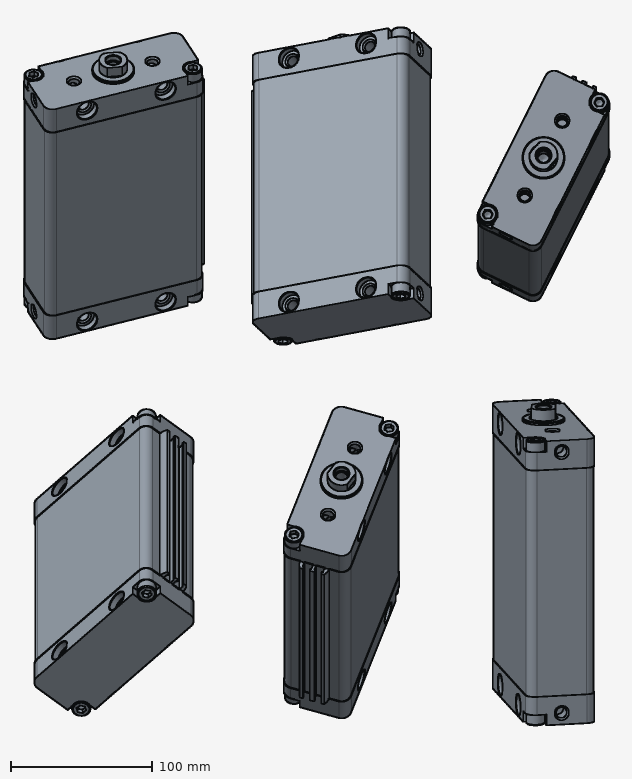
import cadquery as cq
import math

total_height = 217.0
rod_projection = 10.0
cap_width = 50.0
cap_length = 121.0
cap_height = 21.0
corner_radius = 7.0
body_top = total_height - rod_projection
mount_spacing = 60.0

barrel_width = 49.0
barrel_length = 119.8
barrel_corner_radius = 6.5
barrel_height = body_top - 2 * cap_height

rail_tip_y = 66.0
rail_lip = 2.0
rail_lip_y = rail_tip_y - rail_lip
centre_rail_stem_width = 2.2
centre_rail_head_width = 3.5
side_rail_lip_x = 6.7
side_rail_inner_x = 7.5
side_rail_tip_x = 9.1
side_rail_root_x = 10.8
side_rail_bulge_x = 10.5
side_rail_bulge_y = 63.1

thread_diameter = 7.8
thread_mouth = 10.5
thread_chamfer = (thread_mouth - thread_diameter) / 2
side_hole_setback = 8.5
counterbore_diameter = 15.0
counterbore_depth = 5.5
counterbore_chamfer = 0.5
port_depth = 13.0
top_hole_depth = 15.2
drill_point_slope = 30.0

screw_x = 17.5
screw_y = 53.5
screw_head_diameter = 13.2
screw_head_chamfer = 0.9
screw_pocket_diameter = 14.0
screw_slot_width = 13.2
screw_pocket_depth = 7.8
socket_across_flats = 6.0
socket_depth = 4.0

collar_diameter = 30.0
collar_height = 2.0
collar_chamfer = 0.7

rod_diameter = 20.0
rod_across_flats = 17.0
flat_turn = -15.0
rod_thread_diameter = 8.5
rod_thread_mouth = 9.8
rod_thread_chamfer = (rod_thread_mouth - rod_thread_diameter) / 2
rod_thread_depth = 10.8
rod_recess_diameter = 10.5
rod_recess_mouth = 11.5
rod_recess_chamfer = (rod_recess_mouth - rod_recess_diameter) / 2
rod_recess_depth = 4.3


def rounded_block(width, length, height, radius):
    block = cq.Workplane("XY").box(width, length, height, centered=(True, True, False))
    return block.edges("|Z").fillet(radius)


def drilled_hole(diameter, depth, chamfer):
    """Flat-bottomed cutter with its chamfered mouth at the origin, running down -Z."""
    hole = cq.Workplane("XY").circle(diameter / 2).extrude(-depth)
    mouth = cq.Solid.makeCone(diameter / 2, diameter / 2 + chamfer, chamfer, pnt=cq.Vector(0, 0, -chamfer))
    return hole.union(cq.Workplane(mouth))


def drill_point(diameter, depth):
    """Conical bottom for a hole of the given depth below the origin."""
    point_height = diameter / 2 * math.tan(math.radians(drill_point_slope))
    point = cq.Solid.makeCone(0, diameter / 2, point_height, pnt=cq.Vector(0, 0, -depth - point_height))
    return cq.Workplane(point)


def side_hole():
    """Through hole along X, counterbored and chamfered at both ends."""
    through = cq.Workplane("YZ").circle(thread_diameter / 2).extrude(cap_width / 2, both=True)
    seat_x = cap_width / 2 - counterbore_depth
    end = drilled_hole(thread_diameter, thread_chamfer, thread_chamfer)
    end = end.translate((0, 0, seat_x))
    counterbore = drilled_hole(counterbore_diameter, counterbore_depth, counterbore_chamfer)
    end = end.union(counterbore.translate((0, 0, cap_width / 2)))
    for turn in (90, -90):
        through = through.union(end.rotate((0, 0, 0), (0, 1, 0), turn))
    return through


def screw_pocket():
    """Round pocket under Z = 0 at the (-X, -Y) corner, opened to both side faces by slots."""
    pocket = cq.Workplane("XY").circle(screw_pocket_diameter / 2).extrude(-screw_pocket_depth)
    slot = cq.Workplane("XY").center(-screw_slot_width / 2, 0).rect(screw_slot_width, screw_slot_width)
    slot = slot.extrude(-screw_pocket_depth)
    for turn in (0, 90):
        pocket = pocket.union(slot.rotate((0, 0, 0), (0, 0, 1), turn))
    return pocket.translate((-screw_x, -screw_y, 0))


def screw_head():
    """Socket head under Z = 0, standing on the floor of the (-X, -Y) corner pocket."""
    head = cq.Workplane("XY").circle(screw_head_diameter / 2).extrude(-screw_pocket_depth)
    head = head.faces(">Z").chamfer(screw_head_chamfer)
    socket = cq.Workplane("XY").polygon(6, socket_across_flats, circumscribed=True).extrude(-socket_depth)
    point = drill_point(socket_across_flats, socket_depth)
    head = head.cut(socket).cut(point)
    return head.translate((-screw_x, -screw_y, 0))


def end_cap():
    """Cap with its outer face up at Z = 0: corner screws, side holes and the -Y port."""
    cap = rounded_block(cap_width, cap_length, cap_height, corner_radius)
    cap = cap.translate((0, 0, -cap_height))
    for turn in (0, 180):
        cap = cap.cut(screw_pocket().rotate((0, 0, 0), (0, 0, 1), turn))
        cap = cap.union(screw_head().rotate((0, 0, 0), (0, 0, 1), turn))
    for y in (-mount_spacing / 2, mount_spacing / 2):
        cap = cap.cut(side_hole().translate((0, y, -side_hole_setback)))
    port = drilled_hole(thread_diameter, port_depth, thread_chamfer)
    port = port.rotate((0, 0, 0), (1, 0, 0), 90)
    return cap.cut(port.translate((0, -cap_length / 2, -side_hole_setback)))


def make_bottom_cap():
    return end_cap().mirror("XY")


def make_top_cap():
    cap = end_cap()
    collar = cq.Workplane("XY").circle(collar_diameter / 2).extrude(collar_height)
    cap = cap.union(collar.faces(">Z").chamfer(collar_chamfer))
    for y in (-mount_spacing / 2, mount_spacing / 2):
        hole = drilled_hole(thread_diameter, top_hole_depth, thread_chamfer)
        cap = cap.cut(hole.translate((0, y, 0)))
    rod_bore = cq.Workplane("XY").circle(rod_diameter / 2).extrude(cap_height + collar_height)
    cap = cap.cut(rod_bore.translate((0, 0, -cap_height)))
    return cap.translate((0, 0, body_top))


def side_rail():
    root_y = barrel_length / 2
    return (
        cq.Workplane("XY")
        .moveTo(side_rail_inner_x, 0)
        .lineTo(side_rail_inner_x, rail_lip_y)
        .lineTo(side_rail_lip_x, rail_lip_y)
        .lineTo(side_rail_lip_x, rail_tip_y)
        .lineTo(side_rail_tip_x, rail_tip_y)
        .threePointArc((side_rail_bulge_x, side_rail_bulge_y), (side_rail_root_x, root_y))
        .lineTo(side_rail_root_x, 0)
        .close()
        .extrude(barrel_height)
    )


def centre_rail():
    stem = cq.Workplane("XY").center(0, rail_lip_y / 2)
    stem = stem.rect(centre_rail_stem_width, rail_lip_y).extrude(barrel_height)
    head = cq.Workplane("XY").center(0, rail_tip_y - rail_lip / 2)
    return stem.union(head.rect(centre_rail_head_width, rail_lip).extrude(barrel_height))


def make_barrel():
    barrel = rounded_block(barrel_width, barrel_length, barrel_height, barrel_corner_radius)
    barrel = barrel.union(centre_rail()).union(side_rail()).union(side_rail().mirror("YZ"))
    return barrel.translate((0, 0, cap_height))


def make_rod():
    """Round rod through the top cap, with two wrench flats above the collar."""
    rod = cq.Workplane("XY").circle(rod_diameter / 2).extrude(cap_height + rod_projection)
    flat_height = rod_projection - collar_height
    wrench = cq.Workplane("XY").rect(rod_across_flats, 2 * rod_diameter).extrude(flat_height)
    ring = cq.Workplane("XY").rect(2 * rod_diameter, 2 * rod_diameter).extrude(flat_height).cut(wrench)
    ring = ring.rotate((0, 0, 0), (0, 0, 1), flat_turn)
    rod = rod.cut(ring.translate((0, 0, cap_height + collar_height)))
    recess = drilled_hole(rod_recess_diameter, rod_recess_depth, rod_recess_chamfer)
    thread = drilled_hole(rod_thread_diameter, rod_thread_depth, rod_thread_chamfer)
    thread = thread.union(drill_point(rod_thread_diameter, rod_thread_depth))
    rod_top = cap_height + rod_projection
    rod = rod.cut(recess.translate((0, 0, rod_top)))
    rod = rod.cut(thread.translate((0, 0, rod_top - rod_recess_depth)))
    return rod.translate((0, 0, body_top - cap_height))


bottom_cap = make_bottom_cap()
barrel = make_barrel()
top_cap = make_top_cap()
rod = make_rod()

result = cq.Compound.makeCompound([bottom_cap.val(), barrel.val(), top_cap.val(), rod.val()])